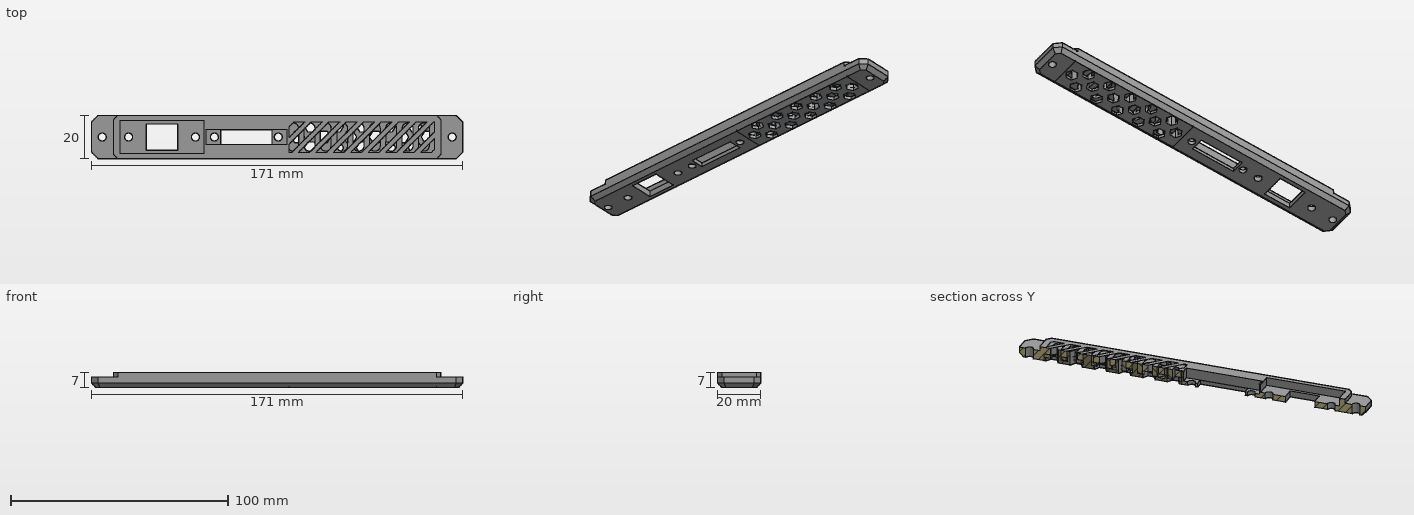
import cadquery as cq

LENGTH = 171.0
WIDTH = 20.0
HEIGHT = 7.0
STEP_HEIGHT = 2.0
TAB_TOP = HEIGHT - STEP_HEIGHT
CENTRE_LENGTH = 150.8
TAB_CORNER = 3.0
CENTRE_CORNER = 2.0
BOTTOM_CHAMFER = 2.0

SCREW_DIAMETER = 3.6
MOUNT_HOLE_X = 80.5

WIDE_X = -53.0
WIDE_LENGTH = 38.8
WIDE_WIDTH = 15.0
WIDE_FLOOR = 3.0
WIDE_WINDOW_LENGTH = 14.4
WIDE_WINDOW_WIDTH = 12.0
WIDE_SCREW_SPACING = 30.8

NARROW_X = -14.2
NARROW_LENGTH = 37.3
NARROW_WIDTH = 6.8
NARROW_FLOOR = 2.0
NARROW_WINDOW_LENGTH = 23.5
NARROW_WINDOW_WIDTH = 6.7
NARROW_SCREW_SPACING = 29.4

GRILLE_DEPTH = 3.6
SLOT_PANEL_THICKNESS = 1.7
GRILLE_BOTTOM = HEIGHT - GRILLE_DEPTH
SLOT_PANEL_BOTTOM = GRILLE_BOTTOM - SLOT_PANEL_THICKNESS

VENT_LEFT = 5.5
VENT_LENGTH = 66.9
VENT_WIDTH = 14.0
VENT_X = VENT_LEFT + VENT_LENGTH / 2
GAP_COUNT = 10
GAP_PITCH = 8.0
GAP_SPAN = 5.0
FIRST_GAP_X = 3.2

SLOT_COUNT = 9
SLOT_PITCH = 7.5
SLOT_WIDTH = 5.0
SLOT_LENGTH = 13.0
SLOT_ROW_X = 37.5

HEX_COLUMNS = 11
HEX_PITCH = 6.0
HEX_RADIUS = HEX_PITCH / 2
HEX_OFFSET_Y = 5.0
HONEYCOMB_X = 39.5

PANEL_WIDTH = 15.7
PANEL_LENGTH = VENT_LENGTH + 1.0
PANEL_X = VENT_LEFT + PANEL_LENGTH / 2


def block(x, length, width, bottom, top):
    """Box centred on the X axis at x, between two levels."""
    return cq.Workplane("XY", origin=(x, 0, bottom)).box(length, width, top - bottom, (True, True, False))


def screw_holes(x, spacing):
    """Pair of full-height screw hole cutters, spaced along X about x."""
    places = [(x - spacing / 2, 0), (x + spacing / 2, 0)]
    return cq.Workplane("XY").pushPoints(places).circle(SCREW_DIAMETER / 2).extrude(HEIGHT)


def diagonal_gaps():
    """Full-height diagonal gaps, clipped to the vent rectangle."""
    shear = VENT_WIDTH / 2
    half_span = GAP_SPAN / 2
    gaps = cq.Workplane("XY")
    for index in range(GAP_COUNT):
        x = FIRST_GAP_X + index * GAP_PITCH
        corners = [
            (x - shear - half_span, -shear),
            (x - shear + half_span, -shear),
            (x + shear + half_span, shear),
            (x + shear - half_span, shear),
        ]
        gaps = gaps.add(cq.Workplane("XY").polyline(corners).close().extrude(HEIGHT))
    return block(VENT_X, VENT_LENGTH, VENT_WIDTH, 0, HEIGHT).intersect(gaps.combine())


def round_slots():
    """Full-height row of slots that run along Y."""
    first_x = SLOT_ROW_X - SLOT_PITCH * (SLOT_COUNT - 1) / 2
    places = [(first_x + index * SLOT_PITCH, 0) for index in range(SLOT_COUNT)]
    return cq.Workplane("XY").pushPoints(places).slot2D(SLOT_LENGTH, SLOT_WIDTH, 90).extrude(HEIGHT)


def hexagons():
    """Full-height hexagons: single and paired columns in turn, starting with a single one."""
    first_x = HONEYCOMB_X - HEX_PITCH * (HEX_COLUMNS - 1) / 2
    places = []
    for column in range(HEX_COLUMNS):
        x = first_x + column * HEX_PITCH
        offsets = [0] if column % 2 == 0 else [-HEX_OFFSET_Y, HEX_OFFSET_Y]
        places += [(x, y) for y in offsets]
    return cq.Workplane("XY").pushPoints(places).polygon(6, 2 * HEX_RADIUS).extrude(HEIGHT)


def make_housing(gaps):
    """Plate with chamfered ends and bottom, two recesses with windows, and the vent grille."""
    base = block(0, LENGTH, WIDTH, 0, TAB_TOP).edges("|Z").chamfer(TAB_CORNER)
    base = base.faces("<Z").chamfer(BOTTOM_CHAMFER)
    centre = block(0, CENTRE_LENGTH, WIDTH, TAB_TOP, HEIGHT).edges("|Z").chamfer(CENTRE_CORNER)
    housing = base.union(centre).cut(screw_holes(0, 2 * MOUNT_HOLE_X))

    housing = housing.cut(block(WIDE_X, WIDE_LENGTH, WIDE_WIDTH, WIDE_FLOOR, HEIGHT))
    housing = housing.cut(block(WIDE_X, WIDE_WINDOW_LENGTH, WIDE_WINDOW_WIDTH, 0, WIDE_FLOOR))
    housing = housing.cut(screw_holes(WIDE_X, WIDE_SCREW_SPACING))

    housing = housing.cut(block(NARROW_X, NARROW_LENGTH, NARROW_WIDTH, NARROW_FLOOR, HEIGHT))
    housing = housing.cut(block(NARROW_X, NARROW_WINDOW_LENGTH, NARROW_WINDOW_WIDTH, 0, NARROW_FLOOR))
    housing = housing.cut(screw_holes(NARROW_X, NARROW_SCREW_SPACING))

    panel_recess = block(PANEL_X, PANEL_LENGTH, PANEL_WIDTH, 0, GRILLE_BOTTOM)
    return housing.cut(panel_recess).cut(gaps)


def make_slot_panel(gaps, slots):
    """Panel under the grille, with ribs that fill the grille gaps flush to the top."""
    panel = block(PANEL_X, PANEL_LENGTH, PANEL_WIDTH, SLOT_PANEL_BOTTOM, GRILLE_BOTTOM)
    ribs = gaps.intersect(block(VENT_X, VENT_LENGTH, VENT_WIDTH, GRILLE_BOTTOM, HEIGHT))
    return panel.union(ribs).cut(slots)


def make_honeycomb_panel(gaps, slots, holes):
    """Lowest panel, with studs that fill what the gaps and slots leave open, flush to the top."""
    panel = block(PANEL_X, PANEL_LENGTH, PANEL_WIDTH, 0, SLOT_PANEL_BOTTOM)
    stud_levels = block(VENT_X, VENT_LENGTH, VENT_WIDTH, SLOT_PANEL_BOTTOM, HEIGHT)
    studs = gaps.intersect(slots).intersect(stud_levels)
    return panel.union(studs).cut(holes)


vent_gaps = diagonal_gaps()
vent_slots = round_slots()
housing = make_housing(vent_gaps)
slot_panel = make_slot_panel(vent_gaps, vent_slots)
honeycomb_panel = make_honeycomb_panel(vent_gaps, vent_slots, hexagons())

bodies = [housing, slot_panel, honeycomb_panel]
result = cq.Compound.makeCompound([body.solids().val() for body in bodies])